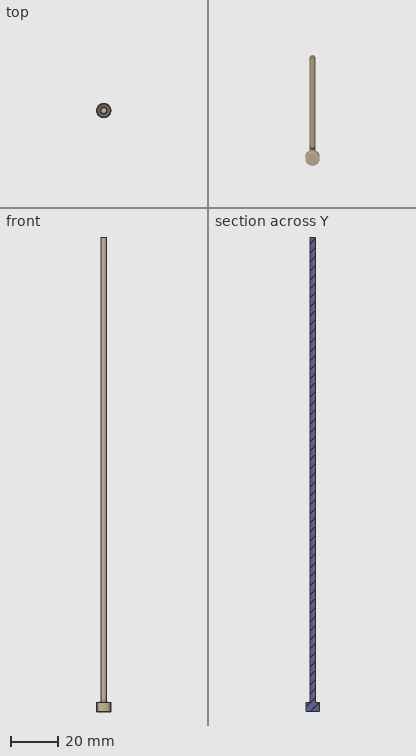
import cadquery as cq

total_length = 200.0
shank_diameter = 2.5
head_diameter = 6.0
head_height = 4.0
neck_fillet = 0.3
head_chamfer = 0.2


def make_head():
    """Disc resting on Z = 0 with both rims chamfered."""
    head = cq.Workplane("XY").circle(head_diameter / 2).extrude(head_height)
    return head.edges("%CIRCLE").chamfer(head_chamfer)


def make_shank():
    """Round shank with a concave fillet flaring out onto the head."""
    shank_radius = shank_diameter / 2
    flare_radius = shank_radius + neck_fillet
    fillet_top = head_height + neck_fillet
    profile = (
        cq.Workplane("XZ")
        .moveTo(0, head_height)
        .lineTo(-flare_radius, head_height)
        .radiusArc((-shank_radius, fillet_top), -neck_fillet)
        .lineTo(-shank_radius, total_length)
        .lineTo(0, total_length)
        .close()
    )
    return profile.revolve(360, (0, 0, 0), (0, 1, 0))


result = make_head().union(make_shank())